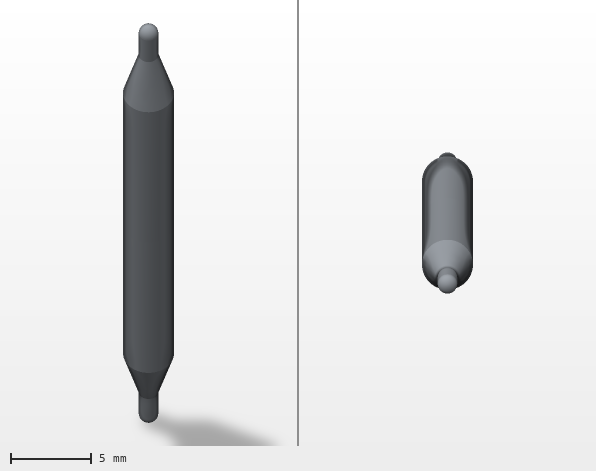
import cadquery as cq

overall_length = 38.1
shank_diameter = 3.15
tip_diameter = 1.22
land_length = 1.75
neck_length = 0.35
cone_length = 3.7

half_length = overall_length / 2
tip_radius = tip_diameter / 2
land_top = half_length - tip_radius
land_bottom = land_top - land_length
cone_tip = land_bottom - neck_length
cone_base = cone_tip - cone_length


def make_half_shank():
    """Upper half of the shank: cylinder, cone and neck."""
    profile = (
        cq.Workplane("XZ")
        .moveTo(0, 0)
        .lineTo(shank_diameter / 2, 0)
        .lineTo(shank_diameter / 2, cone_base)
        .lineTo(tip_radius, cone_tip)
        .lineTo(tip_radius, land_bottom)
        .lineTo(0, land_bottom)
        .close()
    )
    return profile.revolve(360, (0, 0, 0), (0, 1, 0))


def make_shank():
    """One continuous shank, symmetric about its mid-plane."""
    upper = make_half_shank()
    return upper.union(upper.mirror("XY"))


def make_land():
    """Cylindrical cutting land at the upper end."""
    return cq.Workplane("XY", origin=(0, 0, land_bottom)).circle(tip_radius).extrude(land_length)


def make_ball_nose():
    """Hemispherical nose that closes the upper land."""
    profile = (
        cq.Workplane("XZ")
        .moveTo(0, land_top)
        .lineTo(tip_radius, land_top)
        .radiusArc((0, half_length), -tip_radius)
        .close()
    )
    return profile.revolve(360, (0, 0, 0), (0, 1, 0))


def at_both_ends(upper_body):
    """The upper-end body and its copy turned to the lower end."""
    return [upper_body.rotate((0, 0, 0), (1, 0, 0), turn).val() for turn in (0, 180)]


shank = make_shank()
lands = at_both_ends(make_land())
ball_noses = at_both_ends(make_ball_nose())

result = cq.Compound.makeCompound([shank.val(), *lands, *ball_noses])